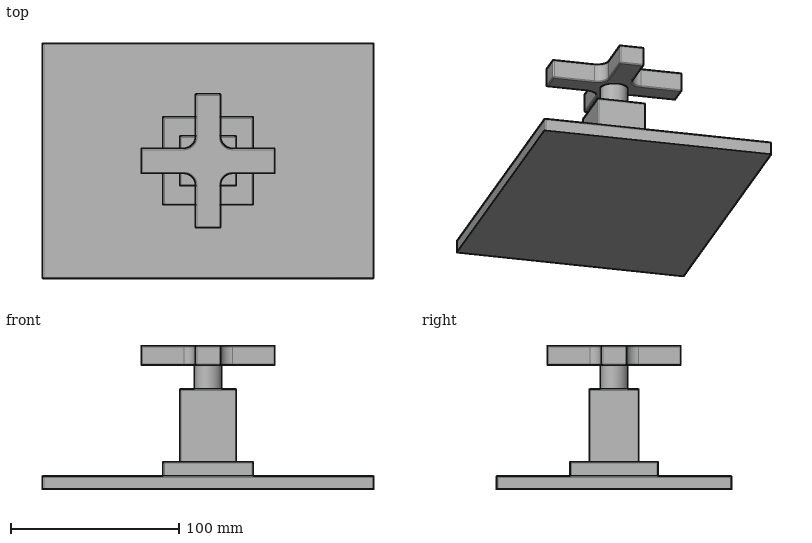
import cadquery as cq

plate_length = 196.8
plate_width = 139.8
plate_thickness = 7.9

pad_length = 53.7
pad_width = 52.4
pad_height = 8.5

body_length = 33.7
body_width = 29.5
body_height = 43.1

stem_diameter = 16.5
stem_height = 14.2

handle_span = 79.5
arm_width = 15.0
arm_inner_radius = 6.9

edge_radius = 0.8

overall_height = 85.2
pad_base = plate_thickness
body_base = pad_base + pad_height
stem_base = body_base + body_height
handle_base = stem_base + stem_height
handle_thickness = overall_height - handle_base


def rounded_block(length, width, height, base):
    """Centred block with rounded upright and top edges."""
    block = cq.Workplane("XY").workplane(offset=base).rect(length, width).extrude(height)
    return block.edges("|Z or >Z").fillet(edge_radius)


def cross_handle():
    """Four equal arms blended at the inner corners, with all outer edges rounded."""
    plane = cq.Workplane("XY").workplane(offset=handle_base)
    arm_along_x = plane.rect(handle_span, arm_width).extrude(handle_thickness)
    arm_along_y = plane.rect(arm_width, handle_span).extrude(handle_thickness)
    cross = arm_along_x.union(arm_along_y)

    corner_box = cq.selectors.BoxSelector(
        (-arm_width, -arm_width, 0),
        (arm_width, arm_width, overall_height),
    )
    cross = cross.edges("|Z").edges(corner_box).fillet(arm_inner_radius)

    arm_ends = cross.faces("<X or >X or <Y or >Y").edges("|Z")
    rounded_cross = arm_ends.fillet(edge_radius)
    return rounded_cross.faces("<Z or >Z").edges().fillet(edge_radius)


plate = rounded_block(plate_length, plate_width, plate_thickness, 0)
pad = rounded_block(pad_length, pad_width, pad_height, pad_base)
body = rounded_block(body_length, body_width, body_height, body_base)
stem = cq.Workplane("XY").workplane(offset=stem_base).circle(stem_diameter / 2).extrude(stem_height)

result = plate.union(pad).union(body).union(stem).union(cross_handle())